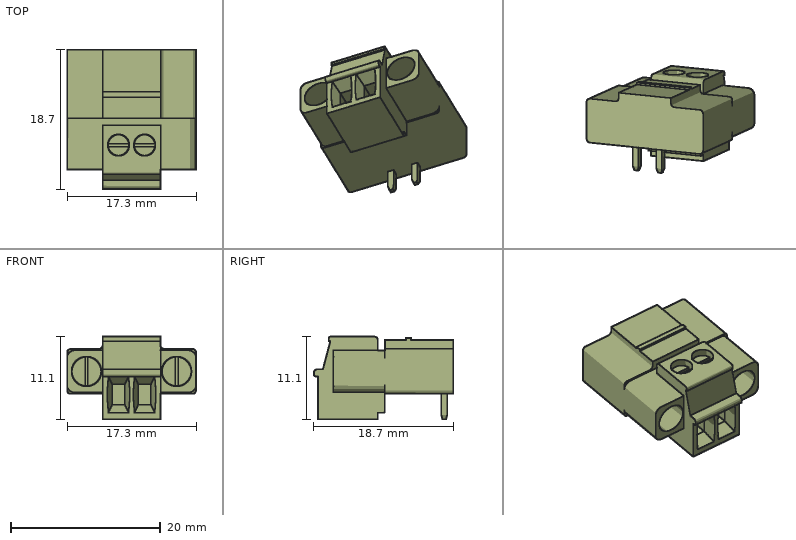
import cadquery as cq


width = 17.3
length = 18.7
height = 11.1
core_width = 7.76
pitch = 3.5
pole_positions = (-pitch / 2, pitch / 2)
joint_y = 9.52

header_bottom = 3.4
header_shoulder = 9.45
header_top = 10.65
header_radius = 0.5
rib_front = 12.35
rib_width = 0.7
rib_height = 0.26

pin_size = 0.86
pin_tip_size = 0.49
pin_tip_length = 0.62
pin_y = 17.48

core_back = 8.6
core_front = 0.56
heel_bottom = 0.86
heel_radius = 0.2
wing_front = 2.62
wing_bottom = 3.6
wing_top = 9.24
wing_radius = 1.0
brow_front = 1.98
brow_bottom = 10.47
slope_top_y = 2.2
slope_bottom_y = 1.22
lip_top = 6.73
lip_bottom = 5.75
large_round = 0.5
small_round = 0.3

clamp_bore = 2.9
clamp_head = 2.8
clamp_y = 5.9
clamp_sink = 1.0
clamp_slot = 0.41
flange_bore = 4.0
flange_head = 3.9
flange_x = 6.04
flange_z = (wing_bottom + wing_top) / 2
flange_sink = 5.0
flange_slot = 0.37
head_height = 1.0
slot_depth = 0.4

entry_bottom = 0.92
entry_width = 2.71
entry_bulge = 0.15
entry_depth = 1.5
throat_width = 1.66
throat_height = 2.7
throat_depth = 2.0

edge_reach = 0.02


def front_plane(y):
    """Workplane at depth y with X to the right and Z up; its normal points to -Y, out of the part."""
    return cq.Workplane("XZ", origin=(0, y, 0))


def box_between(x_size, y_min, y_max, z_min, z_max):
    """Box centred on X = 0."""
    return (
        cq.Workplane("XY")
        .box(x_size, y_max - y_min, z_max - z_min, centered=(True, False, False))
        .translate((0, y_min, z_min))
    )


def round_edges_at(body, direction, first, second, radius):
    """Round the edges that run along X or Y inside the thin box spanned by two points."""
    low = tuple(coordinate - edge_reach for coordinate in first)
    high = tuple(coordinate + edge_reach for coordinate in second)
    inside = cq.selectors.BoxSelector(low, high)
    return body.edges("|" + direction).edges(inside).fillet(radius)


def make_header():
    shroud = box_between(width, joint_y, length, header_bottom, header_shoulder)
    shroud = shroud.edges("|Y").fillet(header_radius)
    crown = box_between(core_width, joint_y, length, header_bottom, header_top)
    shroud = shroud.union(crown)

    half_core = core_width / 2
    left_front = (-half_core, joint_y, header_shoulder)
    right_back = (half_core, length, header_shoulder)
    shroud = round_edges_at(shroud, "Y", left_front, right_back, header_radius)

    rib = box_between(core_width, rib_front, rib_front + rib_width, header_top, header_top + rib_height)
    return shroud.union(rib)


def make_pin(x):
    shank = (
        cq.Workplane("XY", origin=(x, pin_y, pin_tip_length))
        .rect(pin_size, pin_size)
        .extrude(header_bottom - pin_tip_length)
    )
    tip = (
        cq.Workplane("XY", origin=(x, pin_y, 0))
        .rect(pin_tip_size, pin_tip_size)
        .workplane(offset=pin_tip_length)
        .rect(pin_size, pin_size)
        .loft()
    )
    return shank.union(tip)


def round_core_edge(core, y, z, radius):
    """Round the edge of the core that runs along X at (y, z)."""
    half_core = core_width / 2
    return round_edges_at(core, "X", (-half_core, y, z), (half_core, y, z), radius)


def make_plug():
    profile = [
        (core_front, 0),
        (core_back, 0),
        (core_back, heel_bottom),
        (joint_y, heel_bottom),
        (joint_y, wing_top),
        (core_back, wing_top),
        (core_back, height),
        (brow_front, height),
        (brow_front, brow_bottom),
        (slope_top_y, brow_bottom),
        (slope_bottom_y, lip_top),
        (0, lip_top),
        (0, lip_bottom),
        (core_front, lip_bottom),
    ]
    core = cq.Workplane("YZ").polyline(profile).close().extrude(core_width / 2, both=True)
    core = round_core_edge(core, joint_y, heel_bottom, heel_radius)
    core = round_core_edge(core, core_back, height, large_round)
    core = round_core_edge(core, brow_front, height, small_round)
    core = round_core_edge(core, 0, lip_top, large_round)
    core = round_core_edge(core, 0, lip_bottom, small_round)
    wings = box_between(width, wing_front, joint_y, wing_bottom, wing_top)
    return core.union(wings.edges("|Y").fillet(wing_radius))


def sunk_screw(mouth, bore, head, sink, slot_size):
    """Material removed around a slotted screw: recess, gap around the head and driver slot."""
    recess = mouth.circle(bore / 2).extrude(-sink)
    head_top = mouth.workplane(offset=-sink)
    gap = head_top.circle(bore / 2).circle(head / 2).extrude(-head_height)
    slot = head_top.rect(*slot_size).extrude(-slot_depth)
    slot_limit = head_top.circle(bore / 2).extrude(-slot_depth)
    return recess.union(gap).union(slot.intersect(slot_limit))


def wire_entry(x):
    """Funnel with bowed sides that narrows to a rectangular throat."""
    half_width = entry_width / 2
    middle_z = (entry_bottom + lip_bottom) / 2
    half_throat = throat_width / 2
    throat_bottom = middle_z - throat_height / 2
    throat_top = middle_z + throat_height / 2
    funnel = (
        front_plane(core_front)
        .moveTo(x - half_width, entry_bottom)
        .lineTo(x + half_width, entry_bottom)
        .threePointArc((x + half_width + entry_bulge, middle_z), (x + half_width, lip_bottom))
        .lineTo(x - half_width, lip_bottom)
        .threePointArc((x - half_width - entry_bulge, middle_z), (x - half_width, entry_bottom))
        .close()
        .workplane(offset=-entry_depth)
        .moveTo(x - half_throat, throat_bottom)
        .lineTo(x + half_throat, throat_bottom)
        .lineTo(x + half_throat, throat_top)
        .lineTo(x - half_throat, throat_top)
        .close()
        .loft(ruled=True)
    )
    throat = (
        front_plane(core_front + entry_depth)
        .center(x, middle_z)
        .rect(throat_width, throat_height)
        .extrude(-throat_depth)
    )
    return funnel.union(throat)


result = make_header().union(make_plug())

for pole_x in pole_positions:
    clamp_mouth = cq.Workplane("XY", origin=(pole_x, clamp_y, height))
    clamp_cut = sunk_screw(clamp_mouth, clamp_bore, clamp_head, clamp_sink, (clamp_bore, clamp_slot))
    result = result.union(make_pin(pole_x)).cut(clamp_cut).cut(wire_entry(pole_x))

for screw_x in (-flange_x, flange_x):
    flange_mouth = front_plane(wing_front).center(screw_x, flange_z)
    flange_cut = sunk_screw(flange_mouth, flange_bore, flange_head, flange_sink, (flange_slot, flange_bore))
    result = result.cut(flange_cut)